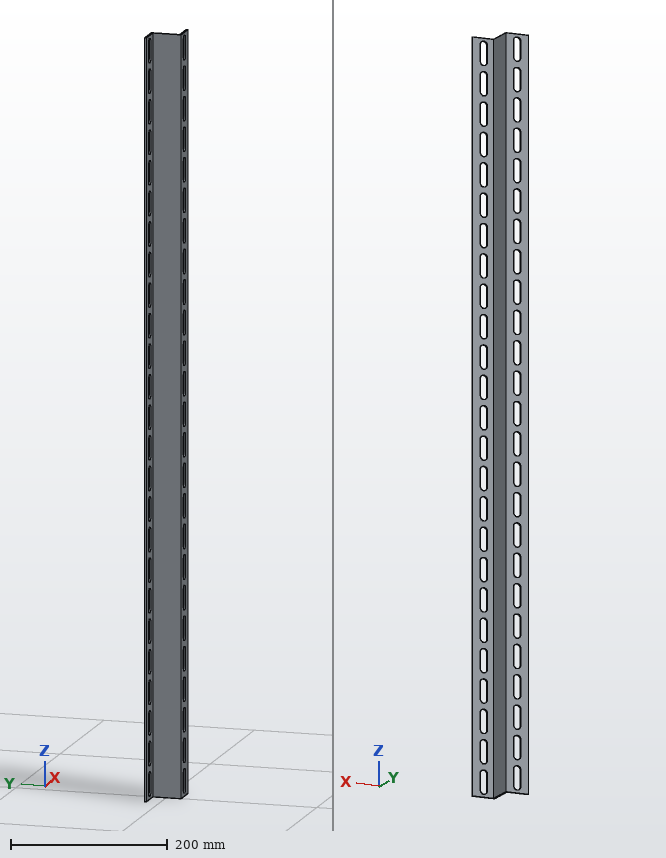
import cadquery as cq

width = 61.5
depth = 40.0
length = 1000.0
thickness = 2.5

flange_width = (width + thickness) / 2

slot_pitch = 40.0
slot_length = 32.0
slot_width = 10.0
slot_count = int(length / slot_pitch)
slot_row_spacing = width - flange_width


def z_profile():
    """Z-shaped section, rear flange toward -X and front flange toward +X."""
    outer_x = width / 2
    outer_y = depth / 2
    web_x = thickness / 2
    inner_y = outer_y - thickness
    outline = [
        (-outer_x, outer_y),
        (web_x, outer_y),
        (web_x, -inner_y),
        (outer_x, -inner_y),
        (outer_x, -outer_y),
        (-web_x, -outer_y),
        (-web_x, inner_y),
        (-outer_x, inner_y),
    ]
    return cq.Workplane("XY").polyline(outline).close().extrude(length)


def slot_cutters():
    """Round-ended slots, upright along Z, passing through both flanges."""
    upright = 90
    return (
        cq.Workplane("XZ")
        .center(0, length / 2)
        .rarray(slot_row_spacing, slot_pitch, 2, slot_count)
        .slot2D(slot_length, slot_width, upright)
        .extrude(depth / 2, both=True)
    )


result = z_profile().cut(slot_cutters())